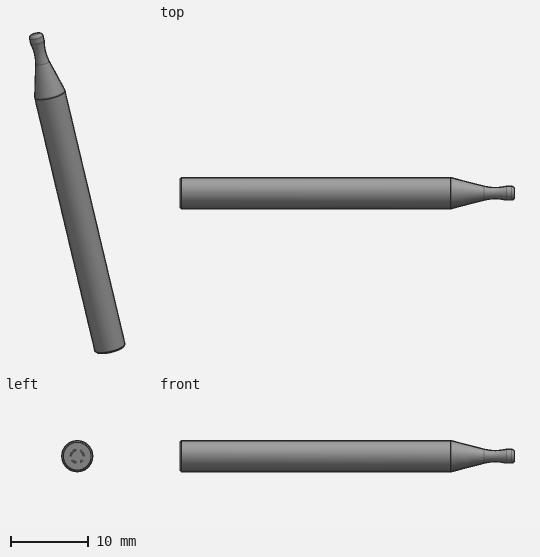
import cadquery as cq

TOTAL_LENGTH = 43.0
SHANK_DIAMETER = 4.0
SHANK_LENGTH = 34.75
COLLAR_LENGTH = 0.15
BACK_CHAMFER = 0.2
TAPER_LENGTH = 4.2
HEAD_RADIUS = 0.9
NECK_RADIUS = 0.75
LAND_LENGTH = 0.65
TIP_ROUNDING = 0.45

SHANK_RADIUS = SHANK_DIAMETER / 2

BACK_X = -TOTAL_LENGTH / 2
FRONT_X = TOTAL_LENGTH / 2
SHANK_END_X = BACK_X + SHANK_LENGTH
TAPER_START_X = SHANK_END_X + COLLAR_LENGTH
NECK_START_X = TAPER_START_X + TAPER_LENGTH
TIP_START_X = FRONT_X - TIP_ROUNDING
HEAD_START_X = TIP_START_X - LAND_LENGTH
NECK_MIDDLE_X = (NECK_START_X + HEAD_START_X) / 2


def revolve_about_x(profile):
    """Close a half profile and turn it a full circle about the X axis."""
    return profile.close().revolve(360, (0, 0, 0), (1, 0, 0))


def make_shank():
    """Plain cylinder, chamfered at the back."""
    profile = (
        cq.Workplane("XZ")
        .moveTo(BACK_X, 0)
        .lineTo(BACK_X, SHANK_RADIUS - BACK_CHAMFER)
        .lineTo(BACK_X + BACK_CHAMFER, SHANK_RADIUS)
        .lineTo(SHANK_END_X, SHANK_RADIUS)
        .lineTo(SHANK_END_X, 0)
    )
    return revolve_about_x(profile)


def make_cutter():
    """Narrow collar, taper, hollowed neck, straight land and rounded tip."""
    profile = (
        cq.Workplane("XZ")
        .moveTo(SHANK_END_X, 0)
        .lineTo(SHANK_END_X, SHANK_RADIUS)
        .lineTo(TAPER_START_X, SHANK_RADIUS)
        .lineTo(NECK_START_X, HEAD_RADIUS)
        .threePointArc((NECK_MIDDLE_X, NECK_RADIUS), (HEAD_START_X, HEAD_RADIUS))
        .lineTo(TIP_START_X, HEAD_RADIUS)
        .radiusArc((FRONT_X, HEAD_RADIUS - TIP_ROUNDING), TIP_ROUNDING)
        .lineTo(FRONT_X, 0)
    )
    return revolve_about_x(profile)


shank = make_shank()
cutter = make_cutter()

result = cq.Compound.makeCompound([shank.val(), cutter.val()])